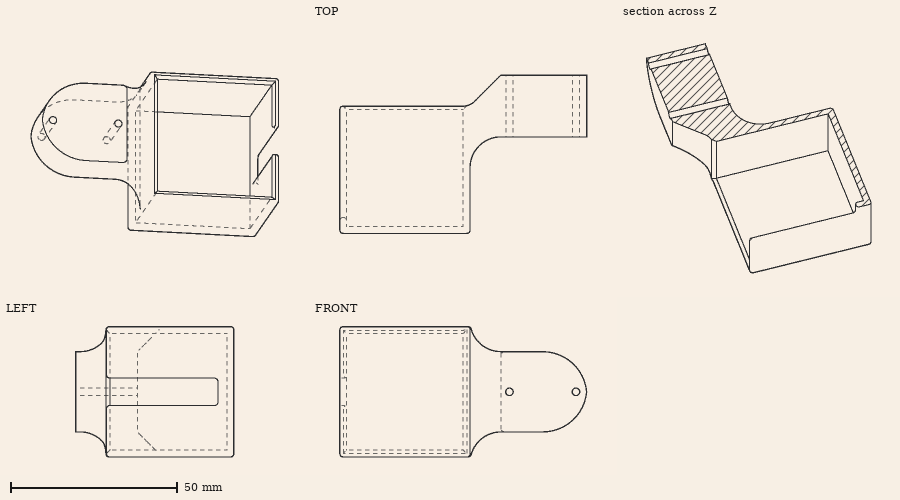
import cadquery as cq
import math

box_width = 39.2
box_depth = 38.3
box_height = 39.2
wall = 2.1
edge_radius = 1.0
rim_chamfer = 1.0

slot_height = 8.2
slot_front = 4.8
slot_corner_radius = 1.0

total_length = 74.25
total_depth = 47.6
lug_thickness = 18.6
lug_height = 24.2
lug_end_length = 13.25
flare_radius = 9.2
ramp_angle = math.radians(45)
ramp_blend_radius = 5.0

pin_diameter = 2.2
pin_spacing = 20.0

half_box = box_height / 2
half_lug = lug_height / 2
lug_front = total_depth - lug_thickness
lug_end_start = total_length - lug_end_length
flare_end = box_width + flare_radius
flare_mid_offset = flare_radius * math.sin(math.radians(45))
lug_root = box_width / 2
tolerance = 0.01


def centered_box(width, depth, height, left, front):
    """Block centred on Z = 0, placed by its left and front faces."""
    block = cq.Workplane("XY").box(width, depth, height, centered=(False, False, True))
    return block.translate((left, front, 0))


def lug_side_shape():
    """Lug outline in XZ, extruded along Y: flared at the box, with an arched free end."""
    flare_top = half_lug + flare_radius
    flare_mid_x = flare_end - flare_mid_offset
    flare_mid_z = flare_top - flare_mid_offset
    end_radius = (lug_end_length**2 + half_lug**2) / (2 * half_lug)
    half_angle = math.asin(lug_end_length / end_radius) / 2
    end_mid_x = lug_end_start + end_radius * math.sin(half_angle)
    end_mid_z = half_lug - end_radius * (1 - math.cos(half_angle))
    return (
        cq.Workplane("XZ")
        .moveTo(lug_root, -flare_top)
        .lineTo(box_width, -flare_top)
        .threePointArc((flare_mid_x, -flare_mid_z), (flare_end, -half_lug))
        .lineTo(lug_end_start, -half_lug)
        .threePointArc((end_mid_x, -end_mid_z), (total_length, 0))
        .threePointArc((end_mid_x, end_mid_z), (lug_end_start, half_lug))
        .lineTo(flare_end, half_lug)
        .threePointArc((flare_mid_x, flare_mid_z), (box_width, flare_top))
        .lineTo(lug_root, flare_top)
        .close()
        .extrude(-total_depth)
    )


def lug_plan_shape():
    """Lug outline in XY, as tall as the box: flared at the front, with a blended ramp at the back."""
    flare_start = lug_front - flare_radius
    ramp_start = flare_end - (total_depth - box_depth) / math.tan(ramp_angle)
    blend_length = ramp_blend_radius * math.tan(ramp_angle / 2)
    blend_start = ramp_start - blend_length
    blend_mid = (
        blend_start + ramp_blend_radius * math.sin(ramp_angle / 2),
        box_depth + ramp_blend_radius * (1 - math.cos(ramp_angle / 2)),
    )
    blend_end = (
        ramp_start + blend_length * math.cos(ramp_angle),
        box_depth + blend_length * math.sin(ramp_angle),
    )
    return (
        cq.Workplane("XY", origin=(0, 0, -half_box))
        .moveTo(lug_root, flare_start)
        .lineTo(box_width, flare_start)
        .threePointArc(
            (flare_end - flare_mid_offset, flare_start + flare_mid_offset),
            (flare_end, lug_front),
        )
        .lineTo(total_length, lug_front)
        .lineTo(total_length, total_depth)
        .lineTo(flare_end, total_depth)
        .lineTo(*blend_end)
        .threePointArc(blend_mid, (blend_start, box_depth))
        .lineTo(lug_root, box_depth)
        .close()
        .extrude(box_height)
    )


def is_rounded_edge(edge):
    """True for the outer box edges and for the upper and lower edges of the ramp."""
    bounds = edge.BoundingBox()
    on_top_or_bottom = bounds.zlen < tolerance and abs(abs(bounds.zmax) - half_box) < tolerance
    full_height = bounds.zlen > box_height - tolerance
    box_upright = full_height and (bounds.xmax < tolerance or bounds.ymax < tolerance)
    behind_box = bounds.ymin > box_depth - tolerance
    along_ramp = (
        behind_box
        and bounds.xmin > box_width - tolerance
        and bounds.xmax < flare_end + tolerance
        and edge.geomType() in ("ELLIPSE", "BSPLINE")
    )
    return on_top_or_bottom or box_upright or along_ramp


def rounded_body():
    """Solid box and lug with the outer edges rounded."""
    lug = lug_plan_shape().intersect(lug_side_shape())
    body = centered_box(box_width, box_depth, box_height, 0, 0).union(lug)
    rounded_edges = [edge for edge in body.edges().vals() if is_rounded_edge(edge)]
    return body.newObject(rounded_edges).fillet(edge_radius)


def cut_cavity(body):
    """Hollow the box from the back."""
    cavity = centered_box(box_width - 2 * wall, box_depth - wall, box_height - 2 * wall, wall, wall)
    return body.cut(cavity)


def is_slot_lip(edge):
    """True for the slot edges on the outer and inner faces of the left wall."""
    bounds = edge.BoundingBox()
    center = edge.Center()
    on_wall_face = bounds.xlen < tolerance and min(abs(center.x), abs(center.x - wall)) < tolerance
    in_slot_height = max(abs(bounds.zmin), abs(bounds.zmax)) < slot_height / 2 + tolerance
    return on_wall_face and in_slot_height and bounds.ymin > slot_front - tolerance


def cut_slot(body):
    """Open the left wall with a slot and round its lips on both sides."""
    slot = centered_box(wall, box_depth - slot_front, slot_height, 0, slot_front)
    slot = slot.edges("|X and <Y").fillet(slot_corner_radius)
    body = body.cut(slot)
    lips = [edge for edge in body.edges().vals() if is_slot_lip(edge)]
    return body.newObject(lips).fillet(edge_radius)


def chamfer_rim(body):
    """Chamfer the inner edge of the open rim with a 45 degree pyramid frustum."""
    cutter_depth = 2 * rim_chamfer
    cutter = (
        cq.Workplane("XZ", origin=(box_width / 2, box_depth - rim_chamfer, 0))
        .rect(box_width - 2 * wall, box_height - 2 * wall)
        .workplane(offset=-cutter_depth)
        .rect(box_width - 2 * wall + 2 * cutter_depth, box_height - 2 * wall + 2 * cutter_depth)
        .loft(ruled=True)
    )
    return body.cut(cutter)


def drill_pins(body):
    """Two holes through the lug from front to back."""
    pins = (
        cq.Workplane("XZ")
        .pushPoints([(lug_end_start - pin_spacing / 2, 0), (lug_end_start + pin_spacing / 2, 0)])
        .circle(pin_diameter / 2)
        .extrude(-total_depth)
    )
    return body.cut(pins)


result = drill_pins(chamfer_rim(cut_slot(cut_cavity(rounded_body()))))